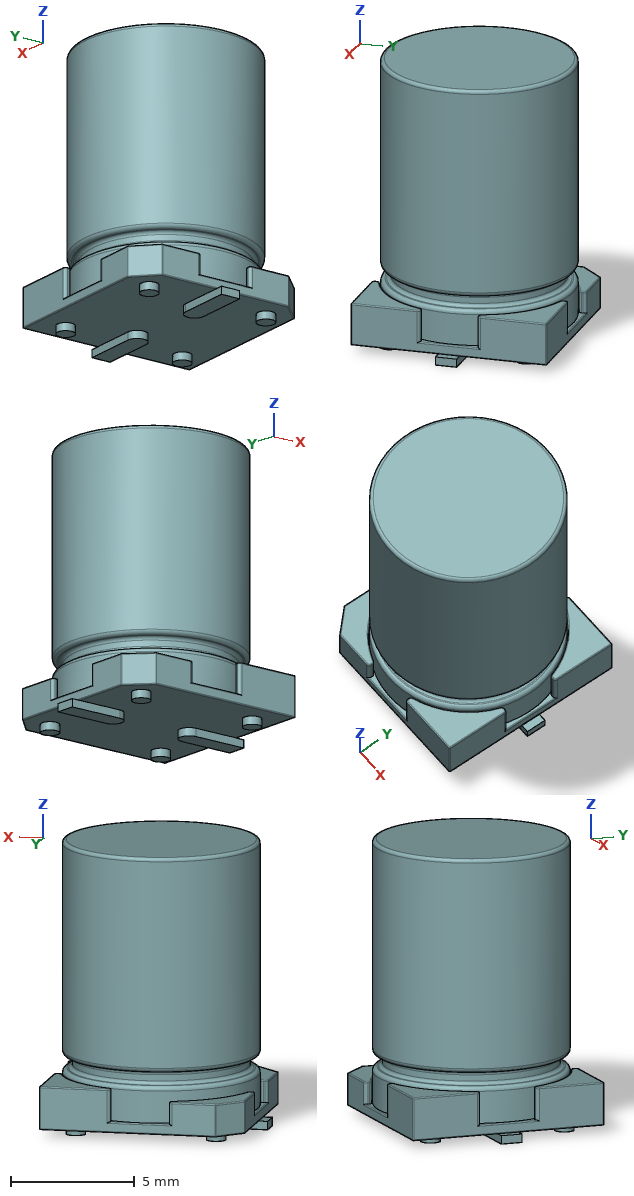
import cadquery as cq
import math

total_height = 11.7
seat_z = 0.35
floor_z = 0.78
low_block_z = 1.7
high_block_z = 2.13

can_radius = 4.0
neck_radius = 7.2 / 2
groove_z = 2.57
neck_half_height = 0.13
neck_fillet = 0.15
groove_lip_round = 0.19
can_top_round = 0.15

base_width = 8.3
base_corner_chamfer = 1.01
base_edge_round = 0.05
gap_half_width = 1.22
block_round = 0.13
pocket_radius = 4.05

lead_span = 9.0
lead_width = 0.9
lead_inner_x = 1.55
foot_diameter = 0.8
foot_offset = 2.9


def make_can():
    """Revolved can with a rolled groove near its foot and a rounded top rim."""
    diagonal = math.sqrt(0.5)
    lip_radius = can_radius - groove_lip_round
    foot_radius = neck_radius + neck_fillet
    lip_offset = neck_half_height + neck_fillet
    wall_offset = lip_offset + groove_lip_round
    lip_mid_radius = lip_radius + groove_lip_round * diagonal
    lip_mid_offset = wall_offset - groove_lip_round * diagonal
    neck_mid_radius = foot_radius - neck_fillet * diagonal
    neck_mid_offset = neck_half_height + neck_fillet * diagonal
    profile = (
        cq.Workplane("XZ")
        .moveTo(0, seat_z)
        .lineTo(can_radius, seat_z)
        .lineTo(can_radius, groove_z - wall_offset)
        .threePointArc((lip_mid_radius, groove_z - lip_mid_offset), (lip_radius, groove_z - lip_offset))
        .lineTo(foot_radius, groove_z - lip_offset)
        .threePointArc((neck_mid_radius, groove_z - neck_mid_offset), (neck_radius, groove_z - neck_half_height))
        .lineTo(neck_radius, groove_z + neck_half_height)
        .threePointArc((neck_mid_radius, groove_z + neck_mid_offset), (foot_radius, groove_z + lip_offset))
        .lineTo(lip_radius, groove_z + lip_offset)
        .threePointArc((lip_mid_radius, groove_z + lip_mid_offset), (can_radius, groove_z + wall_offset))
        .lineTo(can_radius, total_height)
        .lineTo(0, total_height)
        .close()
    )
    can = profile.revolve(360, (0, 0, 0), (0, 1, 0))
    return can.faces(">Z").edges().fillet(can_top_round)


def base_body(top_z):
    """Slab from the seat to top_z with chamfered -X corners, rounded except at its top."""
    return (
        cq.Workplane("XY", origin=(0, 0, seat_z))
        .rect(base_width, base_width)
        .extrude(top_z - seat_z)
        .edges("|Z and <X")
        .chamfer(base_corner_chamfer)
        .edges("|Z or <Z")
        .fillet(base_edge_round)
    )


def round_top(body):
    """Round every edge of the top face."""
    return body.faces(">Z").edges().fillet(base_edge_round)


def block_region(side_x, side_y, top_z):
    """One quadrant outside the gaps and the can pocket, with rounded gap walls."""
    reach = base_width / 2 - gap_half_width
    centre = gap_half_width + reach / 2
    quadrant = (
        cq.Workplane("XY", origin=(side_x * centre, side_y * centre, seat_z))
        .rect(reach, reach)
        .extrude(top_z - seat_z)
    )
    pocket = cq.Workplane("XY").circle(pocket_radius).extrude(top_z)
    region = quadrant.cut(pocket)
    gap_wall_x = "<X" if side_x > 0 else ">X"
    gap_wall_y = "<Y" if side_y > 0 else ">Y"
    region = region.edges(f"|Z and {gap_wall_x}").fillet(block_round)
    return region.edges(f"|Z and {gap_wall_y}").fillet(block_round)


def make_base():
    """Thin plate carrying four corner blocks around the can."""
    base = round_top(base_body(floor_z))
    for side_x, top_z in ((-1, low_block_z), (1, high_block_z)):
        for side_y in (-1, 1):
            block = base_body(top_z).intersect(block_region(side_x, side_y, top_z))
            base = base.union(round_top(block))
    return base


def make_leads():
    """Two flat terminals with full-round inner ends."""
    end_radius = lead_width / 2
    round_x = lead_inner_x + end_radius
    lead = (
        cq.Workplane("XY")
        .moveTo(lead_span / 2, -end_radius)
        .lineTo(round_x, -end_radius)
        .threePointArc((lead_inner_x, 0), (round_x, end_radius))
        .lineTo(lead_span / 2, end_radius)
        .close()
        .extrude(seat_z)
    )
    return lead.union(lead.mirror("YZ"))


def make_feet():
    """Four round stand-off feet under the base corners."""
    return (
        cq.Workplane("XY")
        .rect(2 * foot_offset, 2 * foot_offset, forConstruction=True)
        .vertices()
        .circle(foot_diameter / 2)
        .extrude(seat_z)
    )


result = make_can().union(make_base()).union(make_leads()).union(make_feet())